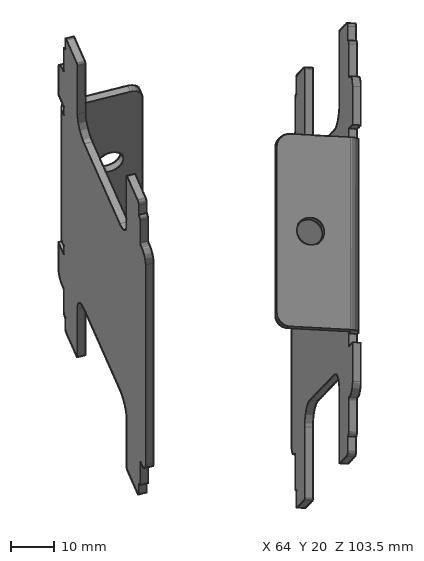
import cadquery as cq
import math

thickness = 2.0
plate_width = 64.0
total_height = 103.5
shoulder_height = 76.5
shoulder_radius = 3.0

leg_outer_inset = 4.0
leg_root_radius = 0.5
tip_outer_inset = 5.0
tip_length = 4.4
tip_outer_radius = 1.0
tip_inner_radius = 0.5

window_width = 36.0
window_depth = 22.5
window_radius = 5.0

flange_height = 46.0
flange_reach = 20.0
flange_corner_radius = 3.0
bend_inner_radius = 0.5
bend_outer_radius = bend_inner_radius + thickness
hole_diameter = 6.5
hole_edge_distance = 8.0

notch_height = 3.0
notch_depth = 4.0

half_width = plate_width / 2
half_height = total_height / 2
half_shoulder = shoulder_height / 2


def block(x_min, x_max, y_min, y_max, z_min, z_max):
    """Box given by its limits along each axis."""
    size = (x_max - x_min, y_max - y_min, z_max - z_min)
    return cq.Workplane("XY").box(*size, centered=False).translate((x_min, y_min, z_min))


def toward(start, target, distance):
    """Point a given distance from start on the way to target."""
    ratio = distance / math.dist(start, target)
    return tuple(a + (b - a) * ratio for a, b in zip(start, target))


def add_corner(outline, before, corner, after, radius):
    """Draw a line to a right-angled corner and round it with a quarter arc."""
    arc_start = toward(corner, before, radius)
    arc_end = toward(corner, after, radius)
    center = tuple(a + b - c for a, b, c in zip(arc_start, arc_end, corner))
    arc_middle = toward(center, corner, radius)
    return outline.lineTo(*arc_start).threePointArc(arc_middle, arc_end)


def make_quarter():
    """Upper right quarter of the plate: shoulder, stepped leg and half of the window."""
    leg_x = half_width - leg_outer_inset
    tip_x = half_width - tip_outer_inset
    step_z = half_height - tip_length
    window_x = window_width / 2
    window_z = half_height - window_depth
    step_radius = leg_x - tip_x

    side_middle = (half_width, 0)
    shoulder = (half_width, half_shoulder)
    leg_root = (leg_x, half_shoulder)
    step_outer = (leg_x, step_z)
    step_inner = (tip_x, step_z)
    tip_outer = (tip_x, half_height)
    tip_inner = (window_x, half_height)
    window_corner = (window_x, window_z)
    window_middle = (0, window_z)

    outline = cq.Workplane("XZ").lineTo(*side_middle)
    outline = add_corner(outline, side_middle, shoulder, leg_root, shoulder_radius)
    outline = add_corner(outline, shoulder, leg_root, step_outer, leg_root_radius)
    outline = add_corner(outline, leg_root, step_outer, step_inner, step_radius)
    outline = add_corner(outline, step_inner, tip_outer, tip_inner, tip_outer_radius)
    outline = add_corner(outline, tip_outer, tip_inner, window_corner, tip_inner_radius)
    outline = add_corner(outline, tip_inner, window_corner, window_middle, window_radius)
    return outline.lineTo(*window_middle).close().extrude(-thickness)


def make_plate():
    """Flat plate: one quarter mirrored to all four corners, then notched on the -X side."""
    quarter = make_quarter()
    upper_half = quarter.union(quarter.mirror("YZ"))
    plate = upper_half.union(upper_half.mirror("XY")).clean()
    notch_z = flange_height / 2 + notch_height
    opening = block(-half_width, -half_width + notch_depth, 0, thickness, -notch_z, notch_z)
    return plate.cut(opening)


def make_flange():
    """L-shaped strip that fills the bend opening and stands up from the plate."""
    half_flange = flange_height / 2
    outer_x = -half_width
    inner_x = outer_x + thickness
    root_x = outer_x + notch_depth
    flange = block(outer_x, root_x, 0, flange_reach, -half_flange, half_flange)
    flange = flange.cut(block(inner_x, root_x, thickness, flange_reach, -half_flange, half_flange))
    outer_corner = cq.selectors.NearestToPointSelector((outer_x, 0, 0))
    flange = flange.edges(outer_corner).fillet(bend_outer_radius)
    inner_corner = cq.selectors.NearestToPointSelector((inner_x, thickness, 0))
    flange = flange.edges(inner_corner).fillet(bend_inner_radius)
    flange = flange.faces(">Y").edges("|X").fillet(flange_corner_radius)
    hole = (
        cq.Workplane("YZ", origin=(outer_x, flange_reach - hole_edge_distance, 0))
        .circle(hole_diameter / 2)
        .extrude(thickness)
    )
    return flange.cut(hole)


result = make_plate().union(make_flange()).clean()